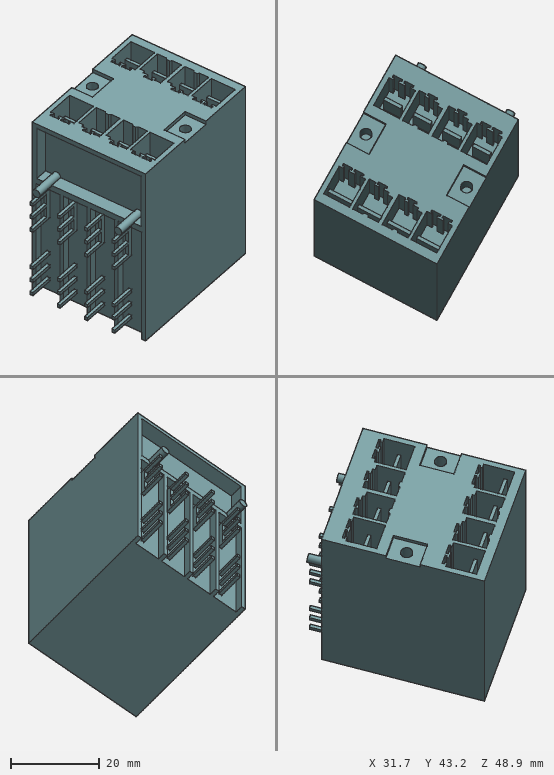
import cadquery as cq

WIDTH = 31.7
DEPTH = 38.65
HEIGHT = 48.9

PITCH = 7.65
POLES = [(number - 1.5) * PITCH for number in range(4)]

RECESS_WIDTH = 29.15
RECESS_BOTTOM = 32.95
RECESS_TOP = 47.65
RECESS_DEPTH = 3.4

PEG_DIAMETER = 2.1
PEG_Z = 33.05

SLOT_WIDTH = 6.65
SLOT_TOP = 31.35
SLOT_DEPTH = 1.95

NOTCH_LENGTH = 5.8
NOTCH_WIDTH = 8.1
NOTCH_DEPTH = 1.0
MOUNT_HOLE_DIAMETER = 2.75
MOUNT_HOLE_DEPTH = 4.9
MOUNT_HOLE_X = 13.0

SOCKET_ROWS = [12.7, 36.4]
SOCKET_DEPTH = 11.75
SOCKET_HALF = 3.33
INNER_SOCKET_X = 3.8
OUTER_SOCKET_X = 11.25
SHOULDER_Y = -7.35
T_NECK_WIDTH = 1.3
T_HEAD_WIDTH = 2.35
T_HEAD_Y = -7.85
T_END_Y = -8.35
RIB_ROOT_HALF = 0.8
RIB_TIP_HALF = 0.4
RIB_HEIGHT = 0.45
STEP_X = -2.05
STEP_Y = -6.7
CORNER_X = 1.6
CORNER_Y = -7.95
OUTER_T_X = -1.6
INNER_T_X = 1.3
DEEP_SHOULDER_Y = -7.55

PIN_HEIGHT = 0.95
PIN_THICKNESS = 0.85
PIN_PITCH = PITCH / 2
PIN_LENGTH = 4.55
PIN_OFFSET = -1.3
BLADE_TOP = 45.3
BLADE_THICKNESS = 0.85
FRONT_BLADE_Y = 9.3
FRONT_BLADE_WIDTH = 4.45
FRONT_PINS_Z = 25.55
FRONT_PLATE_Y = 0.8
BACK_BLADE_Y = 34.3
BACK_BLADE_WIDTH = 6.0
BACK_PINS_Z = 7.0
BACK_PLATE_Y = 3.9


def block(x_range, y_range, z_range):
    """Box between two limits along each axis."""
    lows, highs = zip(x_range, y_range, z_range)
    sizes = [high - low for low, high in zip(lows, highs)]
    return cq.Workplane().box(*sizes, centered=False).translate(lows)


def about(middle, size):
    """Limits of a length centred on a point."""
    return (middle - size / 2, middle + size / 2)


def t_groove(x):
    """T groove outline points, from the left side of its neck to the right side."""
    neck_left, neck_right = about(x, T_NECK_WIDTH)
    head_left, head_right = about(x, T_HEAD_WIDTH)
    return [
        (neck_left, SHOULDER_Y),
        (neck_left, T_HEAD_Y),
        (head_left, T_HEAD_Y),
        (head_left, T_END_Y),
        (head_right, T_END_Y),
        (head_right, T_HEAD_Y),
        (neck_right, T_HEAD_Y),
    ]


def inner_socket_outline():
    return [
        (-SOCKET_HALF, 0),
        (-SOCKET_HALF, STEP_Y),
        (STEP_X, STEP_Y),
        (STEP_X, SHOULDER_Y),
        *t_groove(0),
        (T_NECK_WIDTH / 2, SHOULDER_Y),
        (CORNER_X, SHOULDER_Y),
        (CORNER_X, CORNER_Y),
        (SOCKET_HALF, CORNER_Y),
        (SOCKET_HALF, 0),
        (RIB_ROOT_HALF, 0),
        (RIB_TIP_HALF, -RIB_HEIGHT),
        (-RIB_TIP_HALF, -RIB_HEIGHT),
        (-RIB_ROOT_HALF, 0),
    ]


def outer_socket_outline():
    """Outline of the leftmost socket; the rightmost is its mirror image."""
    return [
        (-SOCKET_HALF, 0),
        (-SOCKET_HALF, SHOULDER_Y),
        *t_groove(OUTER_T_X),
        (OUTER_T_X + T_NECK_WIDTH / 2, SHOULDER_Y),
        *t_groove(INNER_T_X),
        (INNER_T_X + T_NECK_WIDTH / 2, DEEP_SHOULDER_Y),
        (SOCKET_HALF, DEEP_SHOULDER_Y),
        (SOCKET_HALF, 0),
    ]


def socket(outline, x, y):
    floor = cq.Workplane(origin=(x, y, HEIGHT - SOCKET_DEPTH))
    return floor.polyline(outline).close().extrude(SOCKET_DEPTH)


def cut_sockets(body):
    for y in SOCKET_ROWS:
        left_socket = socket(outer_socket_outline(), -OUTER_SOCKET_X, y)
        body = body.cut(left_socket).cut(left_socket.mirror("YZ"))
        for x in (-INNER_SOCKET_X, INNER_SOCKET_X):
            body = body.cut(socket(inner_socket_outline(), x, y))
    return body


def cut_front(body):
    recess = block(about(0, RECESS_WIDTH), (0, RECESS_DEPTH), (RECESS_BOTTOM, RECESS_TOP))
    body = body.cut(recess)
    for x in POLES:
        body = body.cut(block(about(x, SLOT_WIDTH), (0, SLOT_DEPTH), (0, SLOT_TOP)))
    return body


def add_pegs(body):
    for x in (POLES[0], POLES[-1]):
        recess_floor = cq.Workplane("XZ", origin=(x, RECESS_DEPTH, PEG_Z))
        body = body.union(recess_floor.circle(PEG_DIAMETER / 2).extrude(RECESS_DEPTH + PIN_LENGTH))
    return body


def cut_mounts(body):
    notch_floor = HEIGHT - NOTCH_DEPTH
    middle_y = DEPTH / 2
    left_notch = block(
        (-WIDTH / 2, NOTCH_LENGTH - WIDTH / 2),
        about(middle_y, NOTCH_WIDTH),
        (notch_floor, HEIGHT),
    )
    hole_top = cq.Workplane(origin=(-MOUNT_HOLE_X, middle_y, notch_floor))
    left_hole = hole_top.circle(MOUNT_HOLE_DIAMETER / 2).extrude(-MOUNT_HOLE_DEPTH)
    left_mount = left_notch.union(left_hole)
    return body.cut(left_mount).cut(left_mount.mirror("YZ"))


def make_contact(x, blade_y, blade_width, pins_z, plate_y):
    """Upright blade, joined to three pins by a plate that lies along Y."""
    comb_z = about(pins_z, 2 * PIN_PITCH + PIN_HEIGHT)
    blade_limits = about(blade_y, BLADE_THICKNESS)
    pin_x = about(x + PIN_OFFSET, PIN_THICKNESS)
    blade = block(about(x, blade_width), blade_limits, (comb_z[0], BLADE_TOP))
    contact = blade.union(block(pin_x, (plate_y, blade_limits[1]), comb_z))
    for z in (pins_z - PIN_PITCH, pins_z, pins_z + PIN_PITCH):
        contact = contact.union(block(pin_x, (-PIN_LENGTH, plate_y), about(z, PIN_HEIGHT)))
    return contact.solids()


def make_housing(contacts):
    """Housing with a close-fitting passage around every contact."""
    body = block(about(0, WIDTH), (0, DEPTH), (0, HEIGHT))
    body = cut_front(body)
    body = add_pegs(body)
    body = cut_mounts(body)
    body = cut_sockets(body)
    for contact in contacts:
        body = body.cut(contact)
    return body.solids()


front_contacts = [
    make_contact(x, FRONT_BLADE_Y, FRONT_BLADE_WIDTH, FRONT_PINS_Z, FRONT_PLATE_Y) for x in POLES
]
back_contacts = [
    make_contact(x, BACK_BLADE_Y, BACK_BLADE_WIDTH, BACK_PINS_Z, BACK_PLATE_Y) for x in POLES
]
contacts = front_contacts + back_contacts
housing = make_housing(contacts)

result = cq.Compound.makeCompound([housing.val(), *[contact.val() for contact in contacts]])